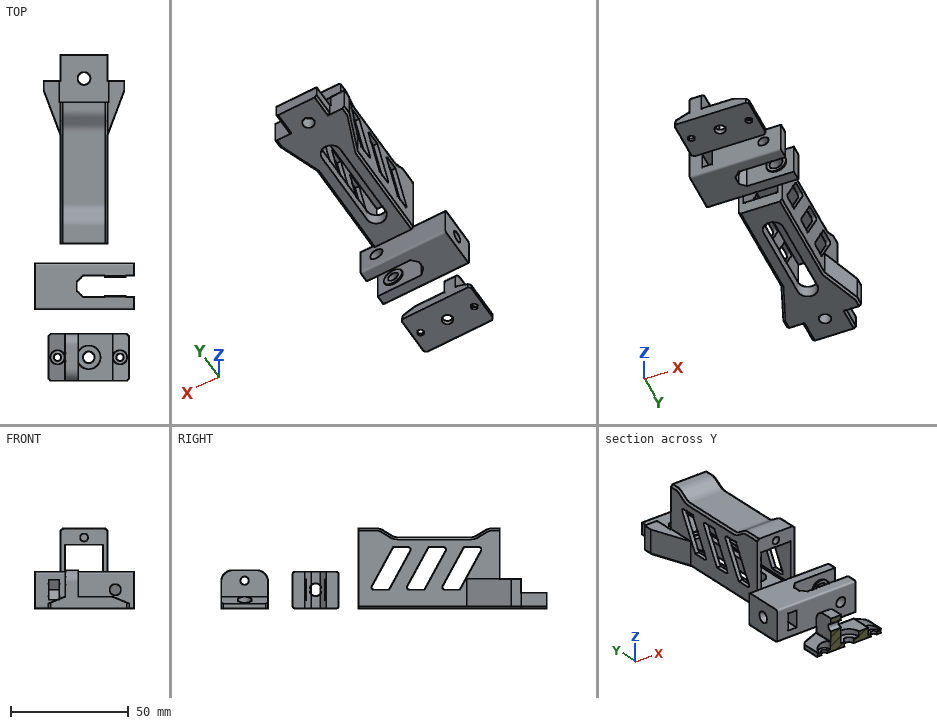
import cadquery as cq
import math

handle_width = 20.0
handle_length = 60.0
handle_height = 34.0
wall = 2.0
cavity_top = 27.0
floor_thickness = 6.4
floor_recess_depth = 0.3
floor_ledge = 0.8
floor_recess_rear = 58.0
edge_chamfer = 1.0

saddle_height = 30.25
saddle_front_crest = 9.2
saddle_rear_crest = 55.1
saddle_run = 6.0
saddle_radius = 5.5

tab_end = 80.0
tab_thickness = 6.75
tab_hole_offset = 10.0
bolt_hole_diameter = 5.3
bore_facets = 36

wing_height = 12.6
wing_half_span = 17.1
wing_rear = 69.0
wing_shoulder = 64.8
wing_front = 46.0
wing_inner_half_gap = 10.4

window_count = 3
window_pitch = 15.0
window_first_y = 5.0
window_bottom = 8.0
window_top = 26.0
window_width = 8.0
window_lean = math.radians(28.6)
window_corner_radius = 1.0

slot_width = 9.0
slot_front = 9.6
slot_rear = 55.6

handle_screw_diameter = 3.4
handle_screw_height = 30.1
handle_screw_depth = 6.0

margin = 0.5


def box(x_range, y_range, z_range):
    """Box given by its limits along each axis."""
    size = [high - low for low, high in (x_range, y_range, z_range)]
    low_corner = (x_range[0], y_range[0], z_range[0])
    return cq.Workplane("XY").box(*size, centered=False).translate(low_corner)


def saddle_block():
    """Main block whose top dips into a smooth saddle, with bevelled top sides."""
    half_width = handle_width / 2
    block = (
        cq.Workplane("YZ", origin=(-half_width, 0, 0))
        .polyline([
            (0, 0),
            (handle_length, 0),
            (handle_length, handle_height),
            (saddle_rear_crest, handle_height),
            (saddle_rear_crest - saddle_run, saddle_height),
            (saddle_front_crest + saddle_run, saddle_height),
            (saddle_front_crest, handle_height),
            (0, handle_height),
        ])
        .close()
        .extrude(handle_width)
    )
    bends = cq.selectors.BoxSelector(
        (-half_width, saddle_front_crest - margin, saddle_height - margin),
        (half_width, saddle_rear_crest + margin, handle_height + margin),
    )
    block = block.edges("|X").edges(bends).fillet(saddle_radius)
    for side in (-half_width, half_width):
        rim = cq.selectors.BoxSelector(
            (side - margin, -margin, saddle_height - margin),
            (side + margin, handle_length + margin, handle_height + margin),
        )
        block = block.edges(rim).edges("not |Z").chamfer(edge_chamfer)
    return block


def handle_base():
    """Tab and tapered wings that stand on the same bottom plane as the block."""
    half_width = handle_width / 2
    tab = box((-half_width, half_width), (0, tab_end), (0, tab_thickness))
    wings = (
        cq.Workplane("XY")
        .polyline([
            (half_width, wing_front),
            (wing_half_span, wing_shoulder),
            (wing_half_span, wing_rear),
            (-wing_half_span, wing_rear),
            (-wing_half_span, wing_shoulder),
            (-half_width, wing_front),
        ])
        .close()
        .extrude(wing_height)
    )
    recess = box(
        (-wing_inner_half_gap, wing_inner_half_gap),
        (handle_length, wing_rear),
        (tab_thickness, wing_height),
    )
    return tab.union(wings.cut(recess))


def windows():
    """Leaning openings through both side walls."""
    lean_shift = (window_top - window_bottom) * math.tan(window_lean)
    reach = handle_width + 2 * margin
    opening = (
        cq.Workplane("YZ", origin=(-reach / 2, 0, 0))
        .polyline([
            (0, window_bottom),
            (window_width, window_bottom),
            (window_width + lean_shift, window_top),
            (lean_shift, window_top),
        ])
        .close()
        .extrude(reach)
    )
    low_tip = cq.selectors.NearestToPointSelector((0, 0, window_bottom))
    high_tip = cq.selectors.NearestToPointSelector((0, window_width + lean_shift, window_top))
    opening = opening.edges("|X").edges(low_tip).fillet(window_corner_radius)
    opening = opening.edges("|X").edges(high_tip).fillet(window_corner_radius)
    cutters = cq.Workplane("YZ")
    for index in range(window_count):
        cutters = cutters.add(opening.translate((0, window_first_y + index * window_pitch, 0)))
    return cutters.combine()


def make_handle():
    """Hollow handle with a slotted floor, tab bolt hole and front screw hole."""
    body = saddle_block().union(handle_base())
    body = body.faces("<Z").edges("not |X").chamfer(edge_chamfer)
    inner = handle_width / 2 - wall
    body = body.cut(box((-inner, inner), (0, handle_length), (floor_thickness, cavity_top)))
    body = body.cut(windows())
    recess_half_width = inner - floor_ledge
    recess_floor = floor_thickness - floor_recess_depth
    body = body.cut(
        box(
            (-recess_half_width, recess_half_width),
            (0, floor_recess_rear),
            (recess_floor, floor_thickness),
        )
    )
    slot_radius = slot_width / 2
    slot_ends = (slot_front + slot_radius, slot_rear - slot_radius)
    slot = box((-slot_radius, slot_radius), slot_ends, (0, floor_thickness))
    for end_y in slot_ends:
        slot_end = (
            cq.Workplane("XY", origin=(0, end_y, 0))
            .polygon(bore_facets, slot_width)
            .extrude(floor_thickness)
        )
        slot = slot.union(slot_end)
    tab_hole = (
        cq.Workplane("XY")
        .center(0, tab_end - tab_hole_offset)
        .polygon(bore_facets, bolt_hole_diameter)
        .extrude(tab_thickness)
    )
    screw_hole = (
        cq.Workplane("XZ")
        .center(0, handle_screw_height)
        .circle(handle_screw_diameter / 2)
        .extrude(-handle_screw_depth)
    )
    return body.cut(slot).cut(tab_hole).cut(screw_hole)


clamp_left = -20.8
clamp_length = 42.0
clamp_front = -27.9
clamp_depth = 19.6
clamp_height = 15.6
clamp_edge_radius = 1.0
clamp_middle_y = clamp_front + clamp_depth / 2
bore_height = 7.95
clamp_right = clamp_left + clamp_length

fork_gap = 9.04
fork_root = -3.0
fork_root_chamfer = 2.6

pivot_x = 13.25
pivot_diameter = 4.8
pivot_boss_diameter = 9.04
pivot_boss_height = 0.6
pivot_rear_diameter = 6.01

nut_x = -12.7
nut_thickness = 4.6
nut_flats = 8.3


def make_clamp():
    """Block with a forked end for the pivot and a side-loaded nut pocket on its bolt hole."""
    body = box(
        (clamp_left, clamp_right),
        (clamp_front, clamp_front + clamp_depth),
        (0, clamp_height),
    )
    body = body.edges("|X").fillet(clamp_edge_radius)

    fork = box(
        (fork_root, clamp_right),
        (clamp_middle_y - fork_gap / 2, clamp_middle_y + fork_gap / 2),
        (0, clamp_height),
    )
    body = body.cut(fork.edges("|Z and <X").chamfer(fork_root_chamfer))

    for side in (-1, 1):
        boss = (
            cq.Workplane("XZ", origin=(0, clamp_middle_y + side * fork_gap / 2, 0))
            .center(pivot_x, bore_height)
            .circle(pivot_boss_diameter / 2)
            .extrude(side * pivot_boss_height)
        )
        body = body.union(boss)
    pivot_bore = (
        cq.Workplane("XZ", origin=(0, clamp_front, 0))
        .center(pivot_x, bore_height)
        .circle(pivot_diameter / 2)
        .extrude(-clamp_depth)
    )
    pivot_rear_bore = (
        cq.Workplane("XZ", origin=(0, clamp_middle_y, 0))
        .center(pivot_x, bore_height)
        .polygon(bore_facets, pivot_rear_diameter)
        .extrude(-clamp_depth / 2)
    )

    bolt_hole = (
        cq.Workplane("YZ", origin=(clamp_left, 0, 0))
        .center(clamp_middle_y, bore_height)
        .polygon(bore_facets, bolt_hole_diameter)
        .extrude(fork_root - clamp_left)
    )
    nut_left = nut_x - nut_thickness / 2
    nut = (
        cq.Workplane("YZ", origin=(nut_left, 0, 0))
        .center(clamp_middle_y, bore_height)
        .polygon(6, nut_flats / math.cos(math.pi / 6))
        .extrude(nut_thickness)
    )
    nut_entry = box(
        (nut_left, nut_left + nut_thickness),
        (clamp_front, clamp_middle_y),
        (bore_height - nut_flats / 2, bore_height + nut_flats / 2),
    )
    body = body.cut(pivot_bore).cut(pivot_rear_bore)
    return body.cut(bolt_hole).cut(nut).cut(nut_entry)


foot_middle_x = 2.0
foot_middle_y = -48.2
foot_length = 34.2
foot_width = 20.0
foot_thickness = 5.0
foot_edge_height = 2.1
foot_flat_half_length = 10.1
foot_corner = 1.0

lug_left = -7.9
lug_thickness = 5.5
lug_height = 16.3
lug_corner_radius = 5.0
lug_corner_facets = 18
lug_hole_diameter = 3.4
lug_hole_height = 11.8

foot_screw_spacing = 26.5
foot_screw_diameter = 3.0
foot_screw_head = 6.0
foot_screw_seat = 1.5

foot_bolt_diameter = 4.8
foot_bolt_head = 10.0
foot_bolt_seat = 2.5


def stepped_hole(x, diameter, head_diameter, seat_height):
    """Vertical through hole with a flat-bottomed head recess above seat_height."""
    shank = cq.Workplane("XY").circle(diameter / 2).extrude(foot_thickness)
    head = (
        cq.Workplane("XY", origin=(0, 0, seat_height))
        .circle(head_diameter / 2)
        .extrude(foot_thickness - seat_height)
    )
    return shank.union(head).translate((x, foot_middle_y, 0))


def lug():
    """Upright plate whose two top corners are rounded by a row of small flat facets."""
    half_width = foot_width / 2
    arc_y = half_width - lug_corner_radius
    arc_z = lug_height - lug_corner_radius
    outline = [(-half_width, 0), (half_width, 0)]
    for start, centre_y in ((0, arc_y), (math.pi / 2, -arc_y)):
        for step in range(lug_corner_facets + 1):
            angle = start + step * math.pi / 2 / lug_corner_facets
            outline.append((
                centre_y + lug_corner_radius * math.cos(angle),
                arc_z + lug_corner_radius * math.sin(angle),
            ))
    plate = (
        cq.Workplane("YZ", origin=(lug_left, foot_middle_y, 0))
        .polyline(outline)
        .close()
        .extrude(lug_thickness)
    )
    hole = (
        cq.Workplane("YZ", origin=(lug_left, foot_middle_y, lug_hole_height))
        .circle(lug_hole_diameter / 2)
        .extrude(lug_thickness)
    )
    return plate.cut(hole)


def make_foot():
    """Mounting plate with sloped ends, recessed screw holes and an upright lug."""
    half_length = foot_length / 2
    plate = (
        cq.Workplane("XZ", origin=(foot_middle_x, foot_middle_y + foot_width / 2, 0))
        .polyline([
            (-half_length, 0),
            (half_length, 0),
            (half_length, foot_edge_height),
            (foot_flat_half_length, foot_thickness),
            (-foot_flat_half_length, foot_thickness),
            (-half_length, foot_edge_height),
        ])
        .close()
        .extrude(foot_width)
    )
    plate = plate.edges("|Z").chamfer(foot_corner)
    plate = plate.cut(stepped_hole(foot_middle_x, foot_bolt_diameter, foot_bolt_head, foot_bolt_seat))
    for side in (-1, 1):
        x = foot_middle_x + side * foot_screw_spacing / 2
        plate = plate.cut(stepped_hole(x, foot_screw_diameter, foot_screw_head, foot_screw_seat))
    return plate.union(lug())


handle = make_handle()
clamp = make_clamp()
foot = make_foot()

result = cq.Compound.makeCompound([handle.val(), clamp.val(), foot.val()])